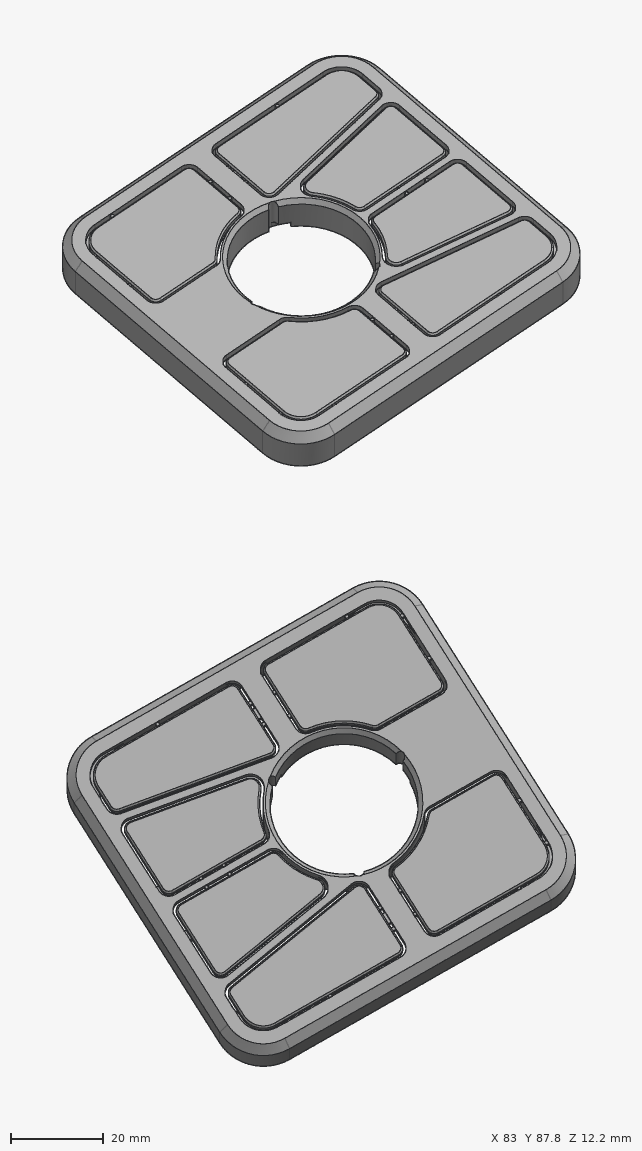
import cadquery as cq
import math

plate_width = 83.0
plate_length = 87.78
plate_thickness = 9.23
plate_corner_radius = 11.0
plate_chamfer = 2.0
skin_thickness = 1.5

bore_center_y = -5.75
bore_radius = 16.0
bore_chamfer = 1.0
notch_count = 3
notch_radius = 1.1
notch_first_angle = 40.5
bore_wall_recess = 1.0
lock_slot_height = 1.3
lock_slot_sweep = 14.0

window_margin = 5.0
rib_width = 1.6
rib_tilt = math.radians(9.7)
rib_reference_x = 21.8
rib_reference_y = 36.6
bore_web = 0.5
upper_window_bottom_y = -0.5
lower_window_top_y = -5.5
lower_window_inner_x = 10.3
window_outer_radius = plate_corner_radius - window_margin
window_corner_radius = 2.5
window_tip_radius = 3.0
key_gap = 0.7
key_chamfer = 0.4

bridge_width = 0.8
bridge_thickness = 1.0
bridge_length = 2.0
side_bridge_y = (19.4, -28.2)
middle_bridge_y = (29.5, 23.7)
upper_bridge_x = (30.0, 24.4)
lower_bridge_x = (29.5, 23.2)
bottom_bridge_x = (30.2, 18.9)
hinge_x = 27.2
hinge_width = 2.6

tab_height = 3.0
tab_width = 2.3
tab_length = 3.8
tab_center_x = 5.85
tab_edge_distance = 3.4

skin_bottom_z = plate_thickness - skin_thickness
window_x = plate_width / 2 - window_margin
window_y = plate_length / 2 - window_margin
bore_mouth_radius = bore_radius + bore_chamfer
window_arc_radius = bore_mouth_radius + bore_web


def tilted_rib_x(y, side):
    """X of the tilted rib's face at height y: side +1 is its outer face, -1 its inner face."""
    center = rib_reference_x - (rib_reference_y - y) * math.tan(rib_tilt)
    return center + side * rib_width / 2 / math.cos(rib_tilt)


def skin_prism(corners):
    """Straight-sided block through the full depth of the skin."""
    return cq.Workplane("XY", origin=(0, 0, skin_bottom_z)).polyline(corners).close().extrude(skin_thickness)


def round_corner(solid, x, y, radius):
    """Round the vertical edge of the solid that lies nearest to (x, y)."""
    nearest = cq.selectors.NearestToPointSelector((x, y, plate_thickness / 2))
    return solid.edges("|Z").edges(nearest).fillet(radius)


def bore_cylinder(radius, height=plate_thickness):
    return cq.Workplane("XY").center(0, bore_center_y).circle(radius).extrude(height)


def arc_rise(x):
    """Distance in Y from the bore centre to the windows' arc at x."""
    return math.sqrt(window_arc_radius**2 - x**2)


def outer_upper_window():
    top_x = tilted_rib_x(window_y, 1)
    bottom_x = tilted_rib_x(upper_window_bottom_y, 1)
    corners = [
        (top_x, window_y),
        (window_x, window_y),
        (window_x, upper_window_bottom_y),
        (bottom_x, upper_window_bottom_y),
    ]
    window = skin_prism(corners)
    radii = [window_corner_radius, window_outer_radius, window_corner_radius, window_corner_radius]
    for (x, y), radius in zip(corners, radii):
        window = round_corner(window, x, y, radius)
    return window


def inner_upper_window():
    rib_x = rib_width / 2
    top_x = tilted_rib_x(window_y, -1)
    bottom_x = tilted_rib_x(bore_center_y, -1)
    corners = [(rib_x, window_y), (top_x, window_y), (bottom_x, bore_center_y), (rib_x, bore_center_y)]
    window = skin_prism(corners).cut(bore_cylinder(window_arc_radius))
    window = round_corner(window, rib_x, window_y, window_corner_radius)
    window = round_corner(window, top_x, window_y, window_corner_radius)
    window = round_corner(window, rib_x, bore_center_y + arc_rise(rib_x), window_corner_radius)
    tip = window.edges("|Z").edges("<Y").val().Center()
    return round_corner(window, tip.x, tip.y, window_tip_radius)


def lower_window():
    tip_y = bore_center_y - arc_rise(lower_window_inner_x)
    corners = [
        (lower_window_inner_x, -window_y),
        (window_x, -window_y),
        (window_x, lower_window_top_y),
        (lower_window_inner_x, lower_window_top_y),
    ]
    window = skin_prism(corners).cut(bore_cylinder(window_arc_radius))
    window = round_corner(window, lower_window_inner_x, -window_y, window_corner_radius)
    window = round_corner(window, window_x, -window_y, window_outer_radius)
    window = round_corner(window, window_x, lower_window_top_y, window_corner_radius)
    window = round_corner(window, window_arc_radius, lower_window_top_y, window_corner_radius)
    return round_corner(window, lower_window_inner_x, tip_y, window_corner_radius)


def key_in(window):
    """Key with a chamfered top that leaves an even gap inside the window."""
    outline = window.faces("<Z").wires().val().offset2D(-key_gap)
    key = cq.Workplane("XY").newObject(outline).toPending().extrude(skin_thickness)
    return key.faces(">Z").chamfer(key_chamfer)


def bridge(x, y, size_x, size_y):
    block = cq.Workplane("XY").box(size_x, size_y, bridge_thickness, centered=(True, True, False))
    return block.translate((x, y, skin_bottom_z))


def bridges():
    """Bridges of the keys on the +X side."""
    across_side = window_x - key_gap / 2
    across_middle = rib_width / 2 + key_gap / 2
    across_bottom = key_gap / 2 - window_y
    across_upper = upper_window_bottom_y + key_gap / 2
    across_lower = lower_window_top_y - key_gap / 2
    parts = [bridge(across_side, y, bridge_length, bridge_width) for y in side_bridge_y]
    parts += [bridge(across_middle, y, bridge_length, bridge_width) for y in middle_bridge_y]
    parts += [bridge(x, across_upper, bridge_width, bridge_length) for x in upper_bridge_x]
    parts += [bridge(x, across_lower, bridge_width, bridge_length) for x in lower_bridge_x]
    parts += [bridge(x, across_bottom, bridge_width, bridge_length) for x in bottom_bridge_x]
    parts.append(bridge(hinge_x, across_upper, hinge_width, bridge_length))
    return parts


def plate():
    body = cq.Workplane("XY").rect(plate_width, plate_length).extrude(plate_thickness)
    return body.edges("|Z").fillet(plate_corner_radius).faces(">Z").edges().chamfer(plate_chamfer)


def cut_cavity(body):
    """Hollow the plate from below, leaving the skin, the rim and a shorter wall around the bore."""
    cavity = cq.Workplane("XY").rect(2 * window_x, 2 * window_y).extrude(skin_bottom_z)
    cavity = cavity.edges("|Z").fillet(plate_corner_radius)
    body = body.cut(cavity.cut(bore_cylinder(window_arc_radius)))
    return body.cut(bore_cylinder(window_arc_radius, bore_wall_recess))


def bayonet_notch():
    """Round entry notch on +X over the full height, with a lock slot running clockwise."""
    entry = cq.Workplane("XY").center(bore_radius, 0).circle(notch_radius).extrude(plate_thickness)
    slot = (
        cq.Workplane("XZ")
        .rect(bore_radius + notch_radius, bore_wall_recess + lock_slot_height, centered=False)
        .revolve(lock_slot_sweep, (0, 0, 0), (0, -1, 0))
    )
    return entry.union(slot)


def cut_bore(body):
    body = body.cut(bore_cylinder(bore_radius))
    mouth = cq.Solid.makeCone(
        bore_radius,
        bore_mouth_radius,
        bore_chamfer,
        pnt=cq.Vector(0, bore_center_y, plate_thickness - bore_chamfer),
    )
    body = body.cut(cq.Workplane(mouth))
    for index in range(notch_count):
        angle = notch_first_angle + index * 360 / notch_count
        notch = bayonet_notch().rotate((0, 0, 0), (0, 0, 1), angle)
        body = body.cut(notch.translate((0, bore_center_y, 0)))
    return body


def cut_key_gaps(body):
    """Cut the gap around every key, in mirrored pairs, leaving the bridges standing."""
    for window in (outer_upper_window(), inner_upper_window(), lower_window()):
        gap = window.cut(key_in(window))
        for part in bridges():
            gap = gap.cut(part)
        body = body.cut(gap).cut(gap.mirror("YZ"))
    return body


def tab(side):
    center_y = plate_length / 2 - tab_edge_distance - tab_length / 2
    block = cq.Workplane("XY").box(tab_width, tab_length, tab_height, centered=(True, True, False))
    return block.translate((side * tab_center_x, center_y, -tab_height))


result = cut_key_gaps(cut_bore(cut_cavity(plate())))
for side in (-1, 1):
    result = result.union(tab(side))